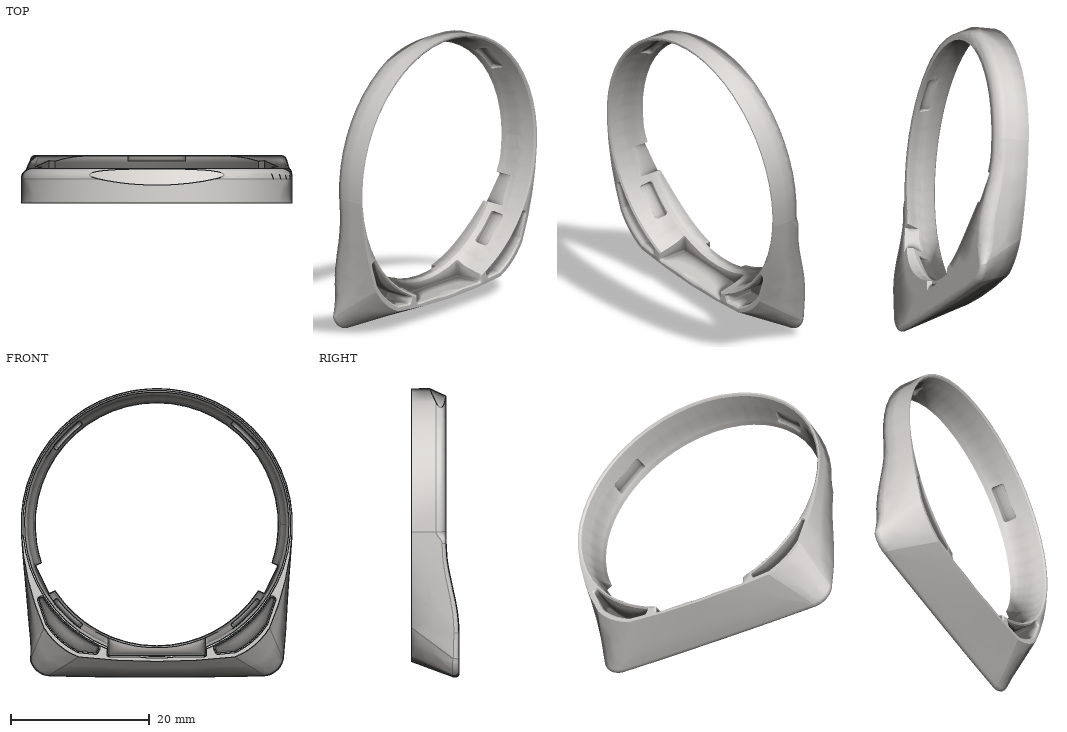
import cadquery as cq
import math

RING_RADIUS = 19.54
RING_DEPTH = 5.0
BODY_DEPTH = 6.85
RING_RIM_FILLET = 1.5
FOOT_RIM_FILLET = 0.6

BORE_MOUTH_RADIUS = 19.3
BORE_FRONT_RADIUS = 19.05
BORE_MIDDLE_RADIUS = 18.6
BORE_SHELF_RADIUS = 17.8
LIP_RADIUS = 17.5
MOUTH_DEPTH = 0.2
BORE_MIDDLE_DEPTH = 2.4
SHELF_DEPTH = 4.4

TANGENT_ANGLE = 3.2
BACK_BOTTOM = 22.28
BACK_CORNER_DROP = 22.15
BACK_CORNER_RADIUS = 2.3
FRONT_SIDE_END = (16.25, -14.9)
FRONT_CORNER_MIDDLE = (14.45, -17.1)
FRONT_CORNER_END = (11.25, -19.1)
FRONT_BOTTOM = 19.75

RISE_START_Z = -2.7
RISE_END_Z = -15.6

FLAT_AXIS_Z = -5.2
FLAT_FRONT_DEPTH = 2.6
FLAT_SLOPE = 0.45

GAP_ANGLE = 25.8
GAP_LENGTH = 4.5
GAP_DISTANCE = 18.3

POCKET_FLOOR_FILLET = 0.2

WALL_POCKET_ANGLES = (45, 135, 225, 315)
WALL_POCKET_LENGTH = 5.4
WALL_POCKET_FRONT = 2.4
WALL_POCKET_BACK = 4.25
WALL_POCKET_DISTANCE = 18.55
WALL_POCKET_CORNER = 0.4

POCKET_DEPTH = SHELF_DEPTH
POCKET_CORNER = 0.25
POCKET_CHAMFER = 0.2
CENTRE_POCKET_WIDTH = 14.0
CENTRE_POCKET_FLOOR = 18.9
CRESCENT_INNER_RADIUS = 19.5
CRESCENT_TOP = (17.0, -10.75)
CRESCENT_SIDE_END = (15.8, -14.3)
CRESCENT_CORNER_MIDDLE = (13.75, -16.65)
CRESCENT_CORNER_END = (11.25, -18.3)
CRESCENT_TIP = (8.7, -18.55)

NOTCH_WIDTH = 8.3
NOTCH_FRONT = 6.05
NOTCH_FLOOR = 18.4

FAR = 2 * RING_RADIUS
TOLERANCE = 0.01
MARGIN = 1.0


def at_depth(depth):
    """Workplane across the Y axis whose local axes are X and Z."""
    return cq.Workplane("XZ", origin=(0, depth, 0))


def mirrored(point):
    return (-point[0], point[1])


def polar(radius, angle):
    return (radius * math.cos(math.radians(angle)), radius * math.sin(math.radians(angle)))


def flank_start():
    return polar(RING_RADIUS, -TANGENT_ANGLE)


def front_flank_middle():
    """Midpoint of the arc that leaves the ring tangentially and ends at FRONT_SIDE_END."""
    start_x, start_z = flank_start()
    chord_x = FRONT_SIDE_END[0] - start_x
    chord_z = FRONT_SIDE_END[1] - start_z
    turn = math.atan2(chord_z, chord_x) - math.radians(-90 - TANGENT_ANGLE)
    bulge = math.tan(turn / 2) / 2
    return (start_x + chord_x / 2 + bulge * chord_z, start_z + chord_z / 2 - bulge * chord_x)


def front_points():
    """Right-hand points of the front outline, from flank to bottom."""
    return [
        front_flank_middle(),
        FRONT_SIDE_END,
        FRONT_CORNER_MIDDLE,
        FRONT_CORNER_END,
        (0, -FRONT_BOTTOM),
    ]


def back_points():
    """Right-hand points of the back outline; its straight flank has no middle point."""
    slope = math.radians(TANGENT_ANGLE)
    r = BACK_CORNER_RADIUS
    centre_z = -BACK_CORNER_DROP + r
    centre_x = (RING_RADIUS - r + centre_z * math.sin(slope)) / math.cos(slope)
    side_end = (centre_x + r * math.cos(slope), centre_z - r * math.sin(slope))
    middle_offset = polar(r, -(90 + TANGENT_ANGLE) / 2)
    return [
        None,
        side_end,
        (centre_x + middle_offset[0], centre_z + middle_offset[1]),
        (centre_x, -BACK_CORNER_DROP),
        (0, -BACK_BOTTOM),
    ]


def outline(depth, points):
    """Closed outline: ring arc on top, then flank, corner and bottom, mirrored on both sides."""
    flank_middle, side_end, corner_middle, corner_end, bottom = points
    start = flank_start()
    profile = at_depth(depth).moveTo(*mirrored(start)).threePointArc((0, RING_RADIUS), start)
    if flank_middle:
        profile = profile.threePointArc(flank_middle, side_end)
    else:
        profile = profile.lineTo(*side_end)
    profile = (
        profile.threePointArc(corner_middle, corner_end)
        .threePointArc(bottom, mirrored(corner_end))
        .threePointArc(mirrored(corner_middle), mirrored(side_end))
    )
    if flank_middle:
        profile = profile.threePointArc(mirrored(flank_middle), mirrored(start))
    return profile.close().val()


def back_face_cutter():
    """Everything behind the back face, which rises in an S from the ring to the foot."""
    return (
        cq.Workplane("YZ", origin=(-FAR, 0, 0))
        .moveTo(RING_DEPTH, FAR)
        .lineTo(RING_DEPTH, RISE_START_Z)
        .spline(
            [(BODY_DEPTH, RISE_END_Z)],
            tangents=[(0, -1), (0, -1)],
            includeCurrent=True,
        )
        .lineTo(BODY_DEPTH, -FAR)
        .lineTo(BODY_DEPTH + FAR, -FAR)
        .lineTo(BODY_DEPTH + FAR, FAR)
        .close()
        .extrude(2 * FAR)
    )


def outer_body():
    sections = [
        outline(0, front_points()),
        outline(BODY_DEPTH, back_points()),
    ]
    body = cq.Workplane(cq.Solid.makeLoft(sections, True))
    body = body.cut(back_face_cutter())
    return round_back_rim(body)


def round_back_rim(body):
    """Fillet that shrinks along the rising flanks from the ring radius to the foot radius."""
    fillet = cq.occ_impl.shapes.BRepFilletAPI_MakeFillet(body.val().wrapped)
    for edge in back_rim_edges(body):
        ends = (edge.startPoint(), edge.endPoint())
        radii = [RING_RIM_FILLET if end.y < RING_DEPTH + TOLERANCE else FOOT_RIM_FILLET for end in ends]
        fillet.Add(*radii, edge.wrapped)
    return cq.Workplane(cq.Shape.cast(fillet.Shape()))


def back_rim_edges(body):
    """Outer edges of the back face; the seams that cross it run level along X and are left out."""
    rim = []
    for edge in body.edges().vals():
        box = edge.BoundingBox()
        if box.ymin > RING_DEPTH - TOLERANCE and box.zlen > TOLERANCE:
            rim.append(edge)
    return rim


def bore():
    profile = (
        cq.Workplane("XY")
        .moveTo(0, -MARGIN)
        .lineTo(BORE_MOUTH_RADIUS, -MARGIN)
        .lineTo(BORE_MOUTH_RADIUS, 0)
        .lineTo(BORE_FRONT_RADIUS, MOUTH_DEPTH)
        .lineTo(BORE_MIDDLE_RADIUS, BORE_MIDDLE_DEPTH)
        .tangentArcPoint((BORE_SHELF_RADIUS, SHELF_DEPTH), relative=False)
        .lineTo(LIP_RADIUS, RING_DEPTH)
        .lineTo(LIP_RADIUS, BODY_DEPTH + MARGIN)
        .lineTo(0, BODY_DEPTH + MARGIN)
        .close()
    )
    return profile.revolve(360, (0, 0, 0), (0, 1, 0))


def rim_flat_cutter():
    """Outside of a cone about an axis below the ring's, which slants the top of the rim."""
    front_radius = RING_RADIUS - FLAT_AXIS_Z
    back_depth = RING_DEPTH + MARGIN
    upper_half = cq.Workplane("XY").box(
        2 * RING_RADIUS, 2 * back_depth, 2 * RING_RADIUS, centered=(True, True, False)
    )
    drop = FLAT_SLOPE * (back_depth - FLAT_FRONT_DEPTH)
    return (
        cq.Workplane("XY", origin=(0, 0, FLAT_AXIS_Z))
        .moveTo(front_radius, FLAT_FRONT_DEPTH)
        .lineTo(front_radius + 2 * MARGIN, FLAT_FRONT_DEPTH)
        .lineTo(front_radius + 2 * MARGIN, back_depth)
        .lineTo(front_radius - drop, back_depth)
        .close()
        .revolve(360, (0, 0, 0), (0, 1, 0))
        .intersect(upper_half)
    )


def radial_box(angle, length, front, back, outer_distance, corner=0):
    """Box from inside the lip out to a flat floor, turned to an angle in the XZ plane.

    A corner radius rounds the four corners of the floor and the edges around it.
    """
    inner_distance = LIP_RADIUS - MARGIN
    box = cq.Workplane("XY").box(
        outer_distance - inner_distance, back - front, length, centered=(False, False, True)
    )
    if corner:
        box = box.edges("|X").fillet(corner).faces(">X").edges().fillet(POCKET_FLOOR_FILLET)
    return box.translate((inner_distance, front, 0)).rotate((0, 0, 0), (0, 1, 0), -angle)


def cut_lip_gaps(part):
    for angle in (-GAP_ANGLE, 180 + GAP_ANGLE):
        gap = radial_box(angle, GAP_LENGTH, BORE_MIDDLE_DEPTH, BODY_DEPTH, GAP_DISTANCE)
        part = part.cut(gap)
    return part


def cut_wall_pockets(part):
    for angle in WALL_POCKET_ANGLES:
        pocket = radial_box(
            angle,
            WALL_POCKET_LENGTH,
            WALL_POCKET_FRONT,
            WALL_POCKET_BACK,
            WALL_POCKET_DISTANCE,
            WALL_POCKET_CORNER,
        )
        part = part.cut(pocket)
    return part


def front_pocket(mouth_outline):
    """Pocket sunk from the front face, with rounded corners and a chamfer around its mouth."""
    pocket = mouth_outline.extrude(-POCKET_DEPTH).edges("|Y").fillet(POCKET_CORNER)
    pocket = pocket.faces(">Y").edges().fillet(POCKET_FLOOR_FILLET)
    slab = at_depth(0).rect(2 * FAR, 2 * FAR).extrude(MARGIN)
    tool = slab.union(pocket)
    mouth = tool.faces(cq.NearestToPointSelector((0, 0, 0))).val().innerWires()[0]
    return tool.newObject(mouth.Edges()).chamfer(POCKET_CHAMFER)


def cut_centre_pocket(part):
    top = math.sqrt(LIP_RADIUS**2 - (CENTRE_POCKET_WIDTH / 2) ** 2) - MARGIN
    height = CENTRE_POCKET_FLOOR - top
    centre_z = height / 2 - CENTRE_POCKET_FLOOR
    mouth_outline = at_depth(0).center(0, centre_z).rect(CENTRE_POCKET_WIDTH, height)
    return part.cut(front_pocket(mouth_outline))


def crescent_outline():
    top_angle = math.degrees(math.atan2(CRESCENT_TOP[1], CRESCENT_TOP[0]))
    tip_angle = math.degrees(math.atan2(CRESCENT_TIP[1], CRESCENT_TIP[0]))
    r = CRESCENT_INNER_RADIUS
    return (
        at_depth(0)
        .moveTo(*polar(r, top_angle))
        .lineTo(*CRESCENT_TOP)
        .lineTo(*CRESCENT_SIDE_END)
        .threePointArc(CRESCENT_CORNER_MIDDLE, CRESCENT_CORNER_END)
        .lineTo(*CRESCENT_TIP)
        .lineTo(*polar(r, tip_angle))
        .threePointArc(polar(r, (top_angle + tip_angle) / 2), polar(r, top_angle))
        .close()
    )


def cut_crescent_pockets(part):
    pocket = front_pocket(crescent_outline())
    return part.cut(pocket).cut(pocket.mirror("YZ"))


def cut_lip_notch(part):
    notch = radial_box(-90, NOTCH_WIDTH, NOTCH_FRONT, BODY_DEPTH + MARGIN, NOTCH_FLOOR)
    return part.cut(notch)


result = outer_body().cut(rim_flat_cutter()).cut(bore())
result = cut_lip_gaps(result)
result = cut_wall_pockets(result)
result = cut_centre_pocket(result)
result = cut_crescent_pockets(result)
result = cut_lip_notch(result)